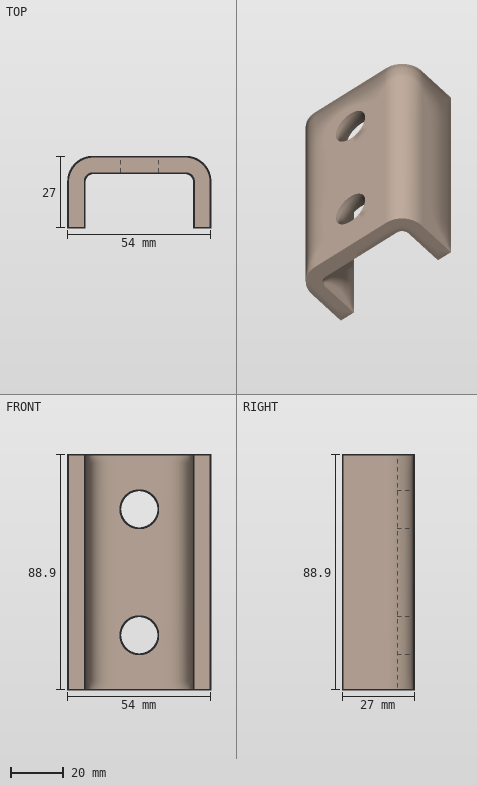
import cadquery as cq

width = 53.96
depth = 26.98
length = 88.9
thickness = 6.35
inner_bend_radius = thickness / 2
outer_bend_radius = inner_bend_radius + thickness

hole_diameter = 14.29
hole_spacing = 47.625


def rounded_bar(bar_width, back_y, bend_radius):
    """Full-length bar from the open side (y = 0) to back_y, with its two back edges rounded."""
    return (
        cq.Workplane("XY")
        .rect(bar_width, 2 * back_y)
        .extrude(length)
        .edges("|Z and >Y")
        .fillet(bend_radius)
        .intersect(cq.Workplane("XY").box(bar_width, back_y, length, centered=(True, False, False)))
    )


def channel():
    """U-shaped channel along Z, open toward -Y, with concentric bends."""
    outside = rounded_bar(width, depth, outer_bend_radius)
    inside = rounded_bar(width - 2 * thickness, depth - thickness, inner_bend_radius)
    return outside.cut(inside)


def bolt_holes():
    """Two cylinders along Y, placed evenly about mid-length."""
    return (
        cq.Workplane("XZ")
        .center(0, length / 2)
        .rarray(1, hole_spacing, 1, 2)
        .circle(hole_diameter / 2)
        .extrude(-depth)
    )


result = channel().cut(bolt_holes())